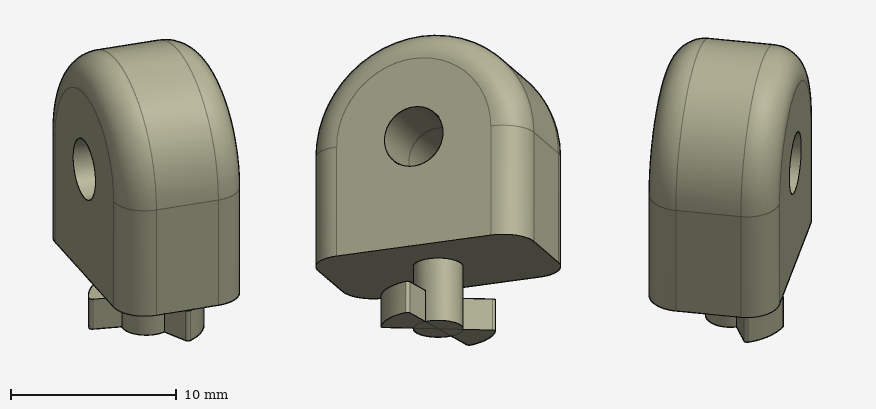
import cadquery as cq
import math

total_height = 18.0
body_height = 14.0
body_width = 14.0
body_depth = 8.0
edge_radius = 2.0
hole_diameter = 3.8
stem_diameter = 3.0
lobe_height = 2.0
lobe_reach = 3.5
lobe_span = 55.0
lobe_direction = 53.0
lobe_corner_radius = 0.2

selection_margin = 0.18

body_bottom = total_height - body_height
crown_radius = body_width / 2
crown_center_z = total_height - crown_radius


def make_body():
    """Round-topped block with softened front and back edges and a cross hole."""
    block = (
        cq.Workplane("XZ")
        .moveTo(-crown_radius, body_bottom)
        .lineTo(-crown_radius, crown_center_z)
        .threePointArc((0, total_height), (crown_radius, crown_center_z))
        .lineTo(crown_radius, body_bottom)
        .close()
        .extrude(body_depth / 2, both=True)
    )
    underside_edges = cq.selectors.BoxSelector(
        (-body_width, -body_depth, body_bottom - selection_margin),
        (body_width, body_depth, body_bottom + selection_margin),
    )
    face_edges = block.faces("<Y or >Y").edges()
    block = face_edges.edges(cq.selectors.InverseSelector(underside_edges)).fillet(edge_radius)
    hole = (
        cq.Workplane("XZ")
        .center(0, crown_center_z)
        .circle(hole_diameter / 2)
        .extrude(body_depth, both=True)
    )
    return block.cut(hole)


def make_stem():
    """Round pin from the bottom up to the underside of the body."""
    return cq.Workplane("XY").circle(stem_diameter / 2).extrude(body_bottom)


def rim_point(angle):
    """Point on the outer face of a lobe at the given angle in degrees."""
    return (
        lobe_reach * math.cos(math.radians(angle)),
        lobe_reach * math.sin(math.radians(angle)),
    )


def make_lobe(direction):
    """Sector with radial sides and rounded outer corners."""
    sector = (
        cq.Workplane("XY")
        .lineTo(*rim_point(direction - lobe_span / 2))
        .threePointArc(rim_point(direction), rim_point(direction + lobe_span / 2))
        .close()
        .extrude(lobe_height)
    )
    on_axis = cq.selectors.BoxSelector(
        (-selection_margin, -selection_margin, 0),
        (selection_margin, selection_margin, lobe_height),
    )
    outer_corners = sector.edges("|Z").edges(cq.selectors.InverseSelector(on_axis))
    return outer_corners.fillet(lobe_corner_radius)


result = make_body().union(make_stem())
for half_turn in (0, 180):
    result = result.union(make_lobe(lobe_direction + half_turn))